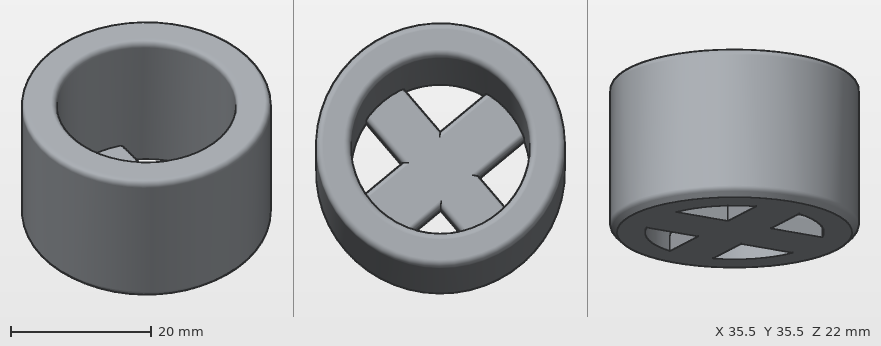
import cadquery as cq
import math

outer_radius = 17.75
bore_radius = 25.5 / 2
height = 22.0
edge_size = 1.0

cross_thickness = 3.0
bar_x_width = 8.5
bar_y_width = 7.05
cross_fillet = 0.75


def make_ring_blank():
    """Solid of revolution with a chamfered base edge blended into the wall."""
    blend_inset = edge_size * (1 - math.cos(math.pi / 4))
    blend_rise = edge_size * math.sin(math.pi / 4)
    blend_mid_inset = edge_size * (1 - math.cos(math.pi / 8))
    blend_mid_drop = edge_size * math.sin(math.pi / 8)
    cone_top = edge_size - blend_inset
    blend_top = cone_top + blend_rise
    profile = (
        cq.Workplane("XZ")
        .lineTo(outer_radius - edge_size, 0)
        .lineTo(outer_radius - blend_inset, cone_top)
        .threePointArc(
            (outer_radius - blend_mid_inset, blend_top - blend_mid_drop),
            (outer_radius, blend_top),
        )
        .lineTo(outer_radius, height)
        .lineTo(0, height)
        .close()
    )
    return profile.revolve(360, (0, 0, 0), (0, 1, 0))


def make_ring():
    """Open ring with both rim edges rounded."""
    bore = cq.Workplane("XY").circle(bore_radius).extrude(height)
    return make_ring_blank().cut(bore).faces(">Z").edges().fillet(edge_size)


def make_cross():
    """Cross with rounded upper edges, trimmed to end inside the ring wall."""
    end_radius = (bore_radius + outer_radius - edge_size) / 2
    length = 2 * outer_radius
    bar_x = cq.Workplane("XY").rect(length, bar_x_width).extrude(cross_thickness)
    bar_y = cq.Workplane("XY").rect(bar_y_width, length).extrude(cross_thickness)
    rounded = bar_x.union(bar_y).faces(">Z").edges().fillet(cross_fillet)
    trim = cq.Workplane("XY").circle(end_radius).extrude(cross_thickness)
    return rounded.intersect(trim)


result = make_ring().union(make_cross())